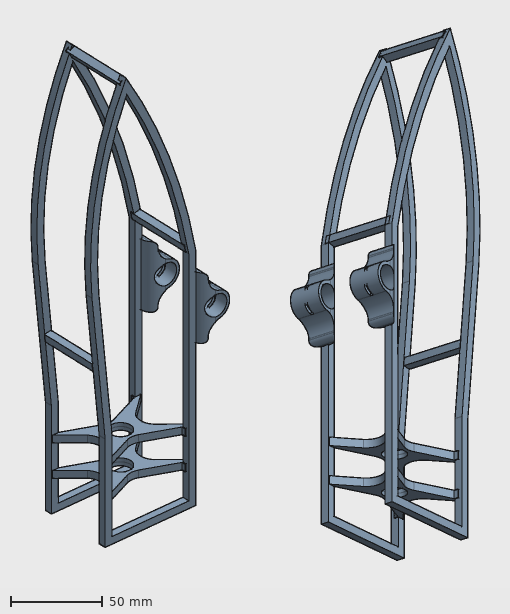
import cadquery as cq
import math

bar_size = 5.0
frame_spacing = 45.0
frame_depth = 65.5
frame_height = 298.0
front_leg_height = 70.3
arch_start_height = 165.5
bulge_start_y = -9.5
apex_y = 15.2
front_arch_middle = (-6.0, 235.3)
rear_arch_middle = (46.0, 235.3)

clear_width = frame_spacing - bar_size
bar_places = [
    (clear_width, -2.5, 116.5, 6),
    (frame_spacing, 62.3, 168.0, 13),
    (frame_spacing, 15.8, 293.0, 30),
]

plate_heights = [25.3, 48.3]
plate_hole_diameter = 14.3
plate_waist = 9.5
notch_depth_y = 14.3
plate_arc_radius = 10.7
waist_angle = 22.3
notch_angle = 45
tab_inner_y = 27.0
tab_outer_y = 32.0

lug_spacing = 42.0
lug_width = 20.0
lug_z = 128.5
lug_half_height = 23.0
lug_sink = 1.0
tube_y = 75.7
tube_radius = 9.2
bore_diameter = 14.3
crease_offset = 2.5
flange_y = 70.3
flange_round = 3.5
flare_end = 18.5
slit_width = 1.8
slit_length = 5.5


def square_bar(length, y, z, tilt):
    bar = cq.Workplane("XY").box(length, bar_size, bar_size)
    return bar.rotate((0, 0, 0), (1, 0, 0), tilt).translate((0, y, z))


def arc_offset(angle):
    """Distances across and along the middle line of a plate arc, at an angle from its lowest point."""
    turn = math.radians(angle)
    return plate_arc_radius * (1 - math.cos(turn)), plate_arc_radius * math.sin(turn)


def waist_point(angle):
    across, along = arc_offset(angle)
    return plate_waist + across, along


def notch_point(angle):
    across, along = arc_offset(angle)
    return along, notch_depth_y + across


def x_plate(z):
    """Plate with four arms, waisted at the sides and notched at the front and rear."""
    inner_x = clear_width / 2
    tab_x = frame_spacing / 2
    quarter = (
        cq.Workplane("XY")
        .lineTo(plate_waist, 0)
        .threePointArc(waist_point(waist_angle / 2), waist_point(waist_angle))
        .lineTo(inner_x, tab_inner_y)
        .lineTo(tab_x, tab_inner_y)
        .lineTo(tab_x, tab_outer_y)
        .lineTo(inner_x, tab_outer_y)
        .lineTo(*notch_point(notch_angle))
        .threePointArc(notch_point(notch_angle / 2), (0, notch_depth_y))
        .close()
        .extrude(bar_size / 2, both=True)
    )
    half = quarter.union(quarter.mirror("YZ"))
    plate = half.union(half.mirror("XZ"))
    hole = cq.Workplane("XY").circle(plate_hole_diameter / 2).extrude(bar_size, both=True)
    return plate.cut(hole).clean().translate((0, frame_depth / 2, z))


def lug(x):
    """Tube along X, flared into a flange whose front is a half round about Z."""
    front_y = frame_depth - lug_sink
    crease_y = tube_y + crease_offset
    crease_z = math.sqrt(tube_radius**2 - crease_offset**2)
    flange_corner = lug_half_height - flange_round
    flare_y = crease_y - flange_y
    flare_z = flare_end - crease_z
    flare_radius = (flare_y**2 + flare_z**2) / (2 * flare_y)
    diagonal = math.sqrt(0.5)
    flare_middle = (
        flange_y + flare_radius * (1 - diagonal),
        flare_end - flare_radius * diagonal,
    )
    round_middle = (
        flange_y - flange_round * (1 - diagonal),
        flange_corner + flange_round * diagonal,
    )
    side = (
        cq.Workplane("YZ")
        .moveTo(front_y, -lug_half_height)
        .lineTo(front_y, lug_half_height)
        .lineTo(flange_y - flange_round, lug_half_height)
        .threePointArc(round_middle, (flange_y, flange_corner))
        .lineTo(flange_y, flare_end)
        .threePointArc(flare_middle, (crease_y, crease_z))
        .threePointArc((tube_y + tube_radius, 0), (crease_y, -crease_z))
        .threePointArc((flare_middle[0], -flare_middle[1]), (flange_y, -flare_end))
        .lineTo(flange_y, -flange_corner)
        .threePointArc((round_middle[0], -round_middle[1]), (flange_y - flange_round, -lug_half_height))
        .close()
        .extrude(lug_width / 2, both=True)
    )
    half_width = lug_width / 2
    round_start = front_y + half_width
    plan = (
        cq.Workplane("XY")
        .moveTo(half_width, tube_y + tube_radius)
        .lineTo(half_width, round_start)
        .threePointArc((0, front_y), (-half_width, round_start))
        .lineTo(-half_width, tube_y + tube_radius)
        .close()
        .extrude(lug_half_height, both=True)
    )
    bore = (
        cq.Workplane("YZ")
        .center(tube_y, 0)
        .circle(bore_diameter / 2)
        .extrude(lug_width, both=True)
    )
    slit = (
        cq.Workplane("XY")
        .box(slit_width, slit_length, 2 * tube_radius, centered=(True, False, True))
        .translate((0, crease_y, 0))
    )
    return side.intersect(plan).cut(bore).cut(slit).translate((x, 0, lug_z))


def frame_outline():
    """Outer edge of a frame: straight legs below a pointed arch."""
    return (
        cq.Workplane("YZ")
        .lineTo(0, front_leg_height)
        .lineTo(bulge_start_y, arch_start_height)
        .threePointArc(front_arch_middle, (apex_y, frame_height))
        .threePointArc(rear_arch_middle, (frame_depth, arch_start_height))
        .lineTo(frame_depth, 0)
        .close()
    )


def side_frame(x):
    """Closed loop of square section."""
    outside = frame_outline().extrude(bar_size / 2, both=True)
    opening = frame_outline().offset2D(-bar_size, "intersection").extrude(bar_size, both=True)
    return outside.cut(opening).translate((x, 0, 0))


cross_bars = [square_bar(*place) for place in bar_places]
plates = [x_plate(z) for z in plate_heights]
lugs = [lug(side * lug_spacing / 2) for side in (-1, 1)]

frames = []
for side in (-1, 1):
    frame = side_frame(side * frame_spacing / 2)
    for body in cross_bars + plates + lugs:
        frame = frame.cut(body)
    frames.append(frame)

bodies = frames + cross_bars + plates + lugs
result = cq.Compound.makeCompound([body.val() for body in bodies])